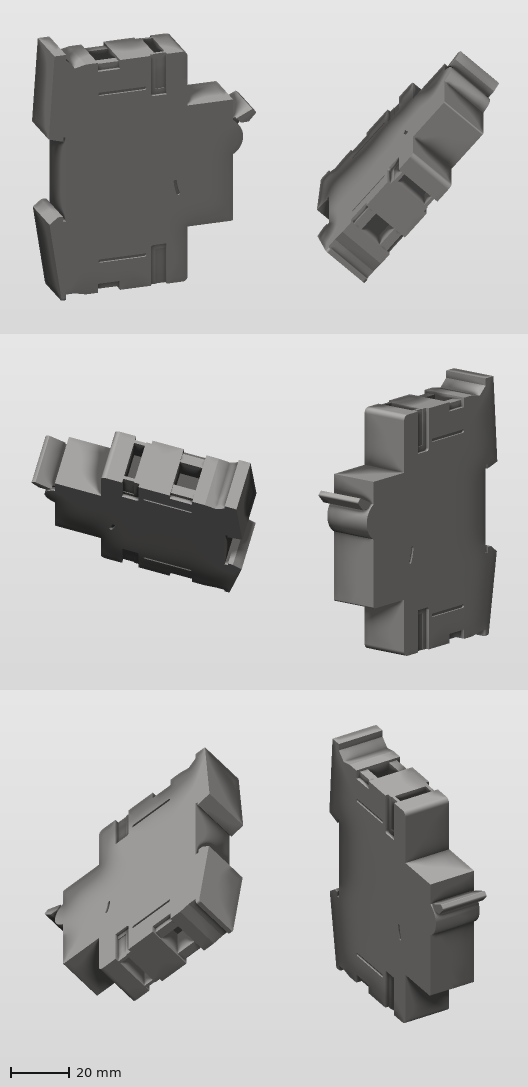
import cadquery as cq


width = 17.5
body_half_height = 42.6
body_front_y = 44.1
body_front_radius = 1.8
nose_front_y = 60.6
nose_half_height = 22.45
nose_lower_radius = 0.55
clip_seat_y = 3.2
clip_seat_end_half_height = 41.7
bevel_start_y = 7.1
lower_seat_z = -22.8

terminal_floor_z = 29.7
slot_front_y = 36.6
slot_rear_y = 32.8
slot_width = 12.4
side_recess_rear_y = 30.8
side_recess_floor_z = 27.7
side_recess_depth = 1.2
side_recess_corner_radius = 0.9
side_slot_depth = 1.5
notch_front_y = 19.6
notch_rear_y = 11.6
notch_floor_z = 41.7
notch_side_floor_z = 39.3
notch_side_depth = 1.4
terminal_width = 8.4

groove_depth = 0.7
groove_height = 1.2
groove_z = 30.9
groove_front_y = 29.1
groove_rear_y = 11.8
arc_groove_upper = (39.6, -5.1)
arc_groove_middle = (40.0, -7.5)
arc_groove_lower = (40.7, -9.8)

hub_y = 57.2
hub_z = 8.3
hub_radius = 7.0
stem_side_inset = 1.5
blade_root_top_y = 61.8
blade_root_top_z = 15.2
blade_root_bottom = (63.4, 13.4)
blade_top_slope = 0.47
blade_peak_y = 67.6
blade_tip = (69.2, 16.6)
blade_bottom_corner = (66.3, 13.5)
stem_bottom_end = (62.8, 12.6)
blade_top_radius = 0.3
blade_tip_radius = 0.6

clip_top_z = 47.2
overall_height = 91.3
clip_bottom_z = clip_top_z - overall_height
clip_rear_y = -6.3
lower_clip_corner_radius = 0.9


def plate(points, thickness=width):
    """Closed (y, z) outline, extruded symmetrically about X = 0."""
    return cq.Workplane("YZ").polyline(points).close().extrude(thickness / 2, both=True)


def block(x_range, y_range, z_range):
    """Box between two limits on each axis."""
    sizes = [high - low for low, high in (x_range, y_range, z_range)]
    corner = (x_range[0], y_range[0], z_range[0])
    return cq.Workplane("XY").box(*sizes, centered=False).translate(corner)


def centred(size):
    return (-size / 2, size / 2)


def both_sides(cutter):
    """The +X cutter together with its mirror image on the -X side."""
    return cutter.union(cutter.mirror("YZ"))


def both_ends(cutter):
    """The upper-end cutter together with its mirror image at the lower end."""
    return cutter.union(cutter.mirror("XY"))


def side_range(depth):
    """X limits of a cut that goes in from the +X side."""
    return (width / 2 - depth, width / 2)


def housing_shell():
    shell = plate([
        (bevel_start_y, body_half_height),
        (body_front_y, body_half_height),
        (body_front_y, nose_half_height),
        (nose_front_y, nose_half_height),
        (nose_front_y, -nose_half_height),
        (body_front_y, -nose_half_height),
        (body_front_y, -body_half_height),
        (bevel_start_y, -body_half_height),
        (clip_seat_y, -clip_seat_end_half_height),
        (clip_seat_y, lower_seat_z),
        (0, lower_seat_z),
        (0, nose_half_height),
        (clip_seat_y, nose_half_height),
        (clip_seat_y, clip_seat_end_half_height),
    ])
    for sign in (1, -1):
        corner = cq.selectors.NearestToPointSelector((0, body_front_y, sign * body_half_height))
        shell = shell.edges(corner).fillet(body_front_radius)
    nose_corner = cq.selectors.NearestToPointSelector((0, nose_front_y, -nose_half_height))
    return shell.edges(nose_corner).fillet(nose_lower_radius)


def handle():
    """Hub, narrow stem and full-width blade, moulded in one with the housing."""
    hub = cq.Workplane("YZ").center(hub_y, hub_z).circle(hub_radius).extrude(width / 2, both=True)
    root_drop = (blade_root_top_y - nose_front_y) * blade_top_slope
    stem_top_end = (nose_front_y, blade_root_top_z - root_drop)
    blade_root_top = (blade_root_top_y, blade_root_top_z)
    blade_peak = (blade_peak_y, blade_root_top_z + (blade_peak_y - blade_root_top_y) * blade_top_slope)
    stem = plate(
        [stem_top_end, blade_root_top, blade_root_bottom, stem_bottom_end, (hub_y, hub_z)],
        width - 2 * stem_side_inset,
    )
    blade = plate([blade_root_top, blade_peak, blade_tip, blade_bottom_corner, blade_root_bottom])
    blade = blade.edges("|X and >Z").fillet(blade_top_radius)
    blade = blade.edges("|X and >Y").fillet(blade_tip_radius)
    return hub.union(stem.union(blade))


def wire_slots():
    """Slot at the middle of each end, with a stepped recess beside it on each broad side."""
    top = body_half_height
    middle = block(centred(slot_width), (slot_rear_y, slot_front_y), (terminal_floor_z, top))
    shallow = block(
        side_range(side_recess_depth), (side_recess_rear_y, slot_front_y), (side_recess_floor_z, top)
    ).edges("|X and <Y and <Z").fillet(side_recess_corner_radius)
    deep = block(side_range(side_slot_depth), (slot_rear_y, slot_front_y), (terminal_floor_z, top))
    return both_ends(middle.union(both_sides(shallow.union(deep))))


def terminal_notches():
    """Full-width notch across each end, cut lower at its two sides and down to the terminal."""
    y_range = (notch_rear_y, notch_front_y)
    top = body_half_height
    notch = block(centred(width), y_range, (notch_floor_z, top))
    sides = both_sides(block(side_range(notch_side_depth), y_range, (notch_side_floor_z, top)))
    terminal = block(centred(terminal_width), y_range, (terminal_floor_z, top))
    return both_ends(notch.union(sides).union(terminal))


def straight_grooves():
    length = groove_front_y - groove_rear_y
    groove = (
        cq.Workplane("YZ", origin=(width / 2, 0, 0))
        .center(groove_rear_y + length / 2, groove_z)
        .slot2D(length, groove_height)
        .extrude(-groove_depth)
    )
    return both_ends(both_sides(groove))


def arc_grooves():
    path = cq.Edge.makeThreePointArc(
        *[cq.Vector(width / 2, *point) for point in (arc_groove_upper, arc_groove_middle, arc_groove_lower)]
    )
    outline = cq.Workplane("YZ", origin=(width / 2, 0, 0)).add(cq.Wire.assembleEdges([path]))
    return both_sides(outline.toPending().offset2D(groove_height / 2).extrude(-groove_depth))


def make_housing():
    housing = housing_shell().union(handle())
    for cutter in (wire_slots(), terminal_notches(), straight_grooves(), arc_grooves()):
        housing = housing.cut(cutter)
    return housing


def make_upper_clip():
    shoulder_z = 44.6
    top_rear_y = -4.2
    hook_y = -0.9
    hook_root_z = 16.6
    hook_tip_z = 15.1
    return plate([
        (clip_seat_y, clip_seat_end_half_height),
        (0, shoulder_z),
        (0, clip_top_z),
        (top_rear_y, clip_top_z),
        (clip_rear_y, hook_root_z),
        (hook_y, hook_tip_z),
        (hook_y, hook_root_z),
        (0, hook_root_z),
        (0, nose_half_height),
        (clip_seat_y, nose_half_height),
    ])


def make_lower_clip():
    hook_y = -1.2
    hook_root_z = -14.5
    hook_tip_z = -12.7
    hook_tip_rear_y = -2.9
    rear_corner = (-6.0, -15.1)
    bottom_rear_y = -1.55
    clip = plate([
        (clip_seat_y, lower_seat_z),
        (0, lower_seat_z),
        (0, hook_root_z),
        (hook_y, hook_root_z),
        (hook_y, hook_tip_z),
        (hook_tip_rear_y, hook_tip_z),
        rear_corner,
        (bottom_rear_y, clip_bottom_z),
        (0, clip_bottom_z),
        (0, -clip_seat_end_half_height),
        (clip_seat_y, -clip_seat_end_half_height),
    ])
    bottom_corners = clip.faces("<Z").edges("#X")
    return bottom_corners.fillet(lower_clip_corner_radius)


housing = make_housing()
upper_clip = make_upper_clip()
lower_clip = make_lower_clip()
result = cq.Compound.makeCompound([housing.val(), upper_clip.val(), lower_clip.val()])